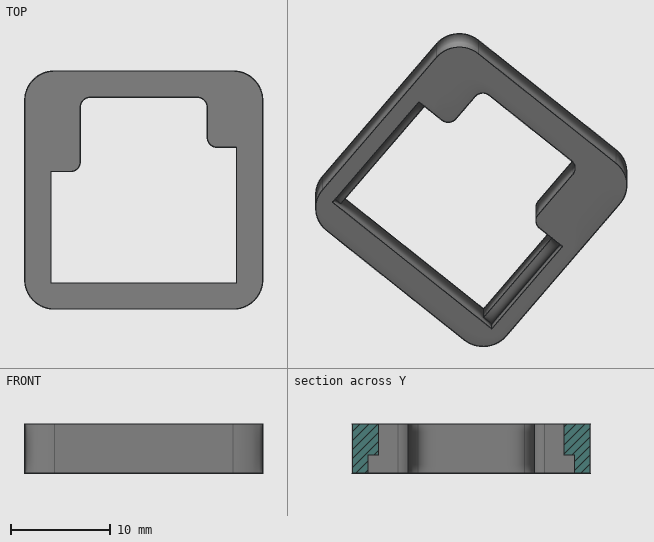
import cadquery as cq

side = 24.0
height = 5.0
outer_radius = 3.0

wall = 2.66
neck_half_width = 6.38
left_shoulder_y = 1.85
right_shoulder_y = 4.3
shoulder_radius = 1.0

undercut_depth = 1.05
undercut_height = 1.85

half_opening = side / 2 - wall


def opening_outline():
    """Closed outline of the through opening, before rounding."""
    return [
        (-half_opening, -half_opening),
        (half_opening, -half_opening),
        (half_opening, right_shoulder_y),
        (neck_half_width, right_shoulder_y),
        (neck_half_width, half_opening),
        (-neck_half_width, half_opening),
        (-neck_half_width, left_shoulder_y),
        (-half_opening, left_shoulder_y),
    ]


def make_opening():
    """Stepped opening with the neck corners and shoulders rounded."""
    opening = cq.Workplane("XY").polyline(opening_outline()).close().extrude(height)
    neck_edges = cq.selectors.BoxSelector(
        (-neck_half_width - 0.25, 0, 0),
        (neck_half_width + 0.25, side / 2, height),
    )
    return opening.edges("|Z").edges(neck_edges).fillet(shoulder_radius)


def make_undercut(direction, shoulder_y):
    """Recess in one side wall (+1 for +X, -1 for -X), from the -Y wall to the shoulder."""
    return (
        cq.Workplane("XY")
        .center(direction * (half_opening + undercut_depth / 2), (shoulder_y - half_opening) / 2)
        .rect(undercut_depth, shoulder_y + half_opening)
        .extrude(undercut_height)
    )


frame = cq.Workplane("XY").rect(side, side).extrude(height).edges("|Z").fillet(outer_radius)

result = (
    frame.cut(make_opening())
    .cut(make_undercut(1, right_shoulder_y))
    .cut(make_undercut(-1, left_shoulder_y))
)